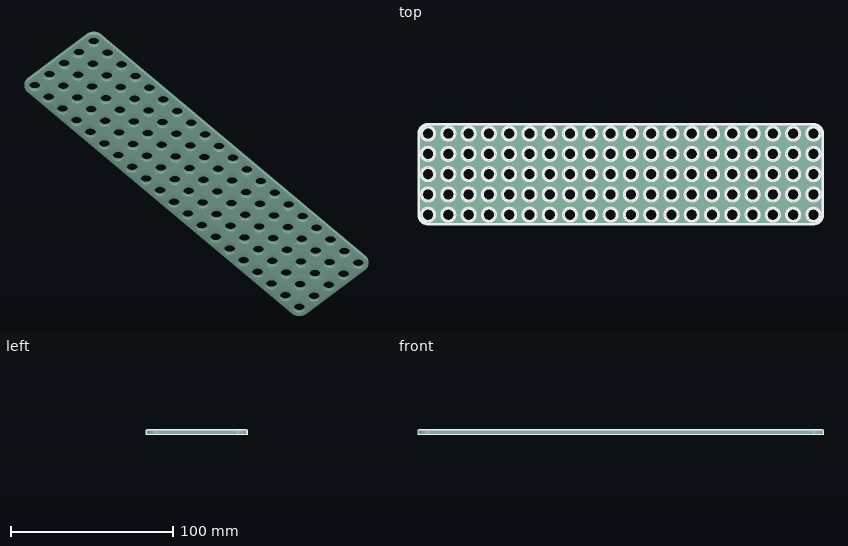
import cadquery as cq

pitch = 12.5
columns = 20
rows = 5

length = columns * pitch
width = rows * pitch
thickness = pitch / 4
corner_radius = pitch / 2

step_height = 0.1
upper_step_inset = 0.88
lower_step_inset = 0.38

hole_diameter = 7.0
inner_counterbore_diameter = 7.8
outer_counterbore_diameter = 9.2


def make_slab(inset, height):
    """Rounded rectangle set in from the plate outline, centred in height."""
    return (
        cq.Workplane("XY")
        .box(length - 2 * inset, width - 2 * inset, height)
        .edges("|Z")
        .fillet(corner_radius - inset)
    )


def make_plate():
    """Plate without holes: each slab is taller and smaller in outline than the last."""
    plate = make_slab(0, thickness - 4 * step_height)
    plate = plate.union(make_slab(lower_step_inset, thickness - 2 * step_height))
    return plate.union(make_slab(upper_step_inset, thickness))


def make_hole_cutter():
    """Solid of one through hole with its stepped counterbores at both faces."""
    cutter = cq.Workplane("XY").cylinder(thickness, hole_diameter / 2)
    counterbores = (
        (inner_counterbore_diameter, 2 * step_height),
        (outer_counterbore_diameter, step_height),
    )
    for diameter, depth in counterbores:
        for side in (1, -1):
            middle_height = side * (thickness - depth) / 2
            counterbore = cq.Workplane("XY").cylinder(depth, diameter / 2)
            cutter = cutter.union(counterbore.translate((0, 0, middle_height)))
    return cutter.val()


hole_cutter = make_hole_cutter()
hole_cutters = (
    cq.Workplane("XY")
    .rarray(pitch, pitch, columns, rows)
    .eachpoint(lambda place: hole_cutter.moved(place))
)

result = make_plate().cut(hole_cutters)